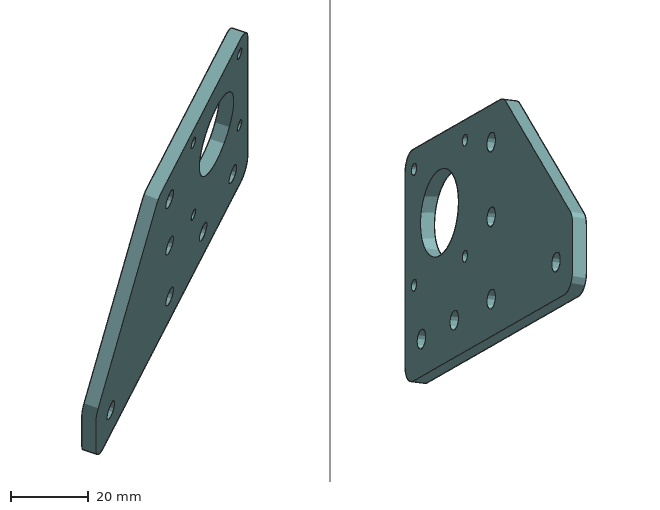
import cadquery as cq

thickness = 4.0
width = 102.0
height = 62.0
corner_radius = 5.0
cut_leg = 42.0

left = width / 2
right = -width / 2
top = height / 2
bottom = -height / 2

motor_inset = 21.0
motor_bore_diameter = 23.0
motor_screw_spacing = 31.0
motor_screw_diameter = 3.05
motor_y = left - motor_inset
motor_z = top - motor_inset

bolt_diameter = 5.1
bolt_edge_inset = 10.0
bolt_pitch = 20.0
column_inset = 52.5
column_rise = 22.0

row_z = bottom + bolt_edge_inset
row_start_y = left - bolt_edge_inset
column_y = left - column_inset
column_start_z = row_z + column_rise
bolt_points = [
    (row_start_y, row_z),
    (row_start_y - bolt_pitch, row_z),
    (column_y, row_z),
    (right + bolt_edge_inset, row_z),
    (column_y, column_start_z),
    (column_y, column_start_z + bolt_pitch),
]


def plate_plane():
    """YZ workplane on the -X face; extrusion runs toward +X."""
    return cq.Workplane("YZ", origin=(-thickness / 2, 0, 0))


def make_plate():
    outline = [
        (left, bottom),
        (left, top),
        (right + cut_leg, top),
        (right, top - cut_leg),
        (right, bottom),
    ]
    plate = plate_plane().polyline(outline).close().extrude(thickness)
    return plate.edges("|X").fillet(corner_radius)


def through_holes(points, diameter):
    return plate_plane().pushPoints(points).circle(diameter / 2).extrude(thickness)


def motor_screws():
    screws = plate_plane().center(motor_y, motor_z)
    screws = screws.rect(motor_screw_spacing, motor_screw_spacing, forConstruction=True)
    return screws.vertices().circle(motor_screw_diameter / 2).extrude(thickness)


result = make_plate()
result = result.cut(through_holes([(motor_y, motor_z)], motor_bore_diameter))
result = result.cut(motor_screws())
result = result.cut(through_holes(bolt_points, bolt_diameter))